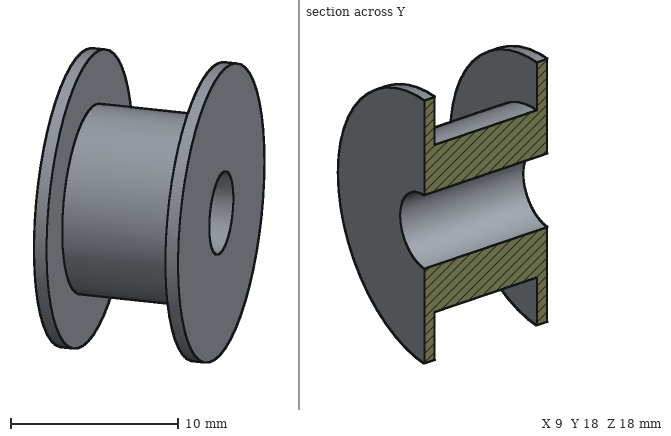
import cadquery as cq

flange_diameter = 18.0
hub_diameter = 11.47
bore_diameter = 5.0
spool_width = 9.0
flange_thickness = 0.8


def disc(diameter, start_x, length):
    """Cylinder along +X, beginning at start_x."""
    return cq.Workplane("YZ", origin=(start_x, 0, 0)).circle(diameter / 2).extrude(length)


left_face_x = -spool_width / 2
right_flange_x = spool_width / 2 - flange_thickness

spool = disc(hub_diameter, left_face_x, spool_width)
for flange_x in (left_face_x, right_flange_x):
    spool = spool.union(disc(flange_diameter, flange_x, flange_thickness))

result = spool.cut(disc(bore_diameter, left_face_x, spool_width))